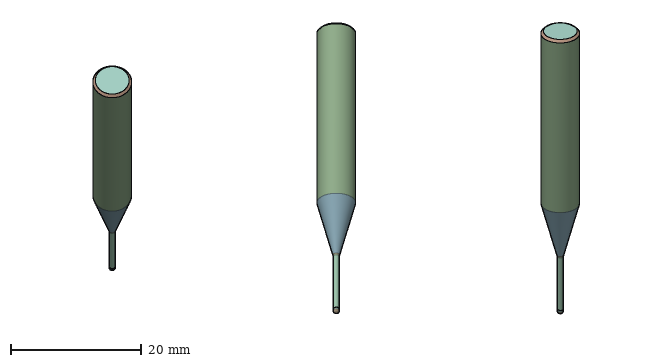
import cadquery as cq
import math

TOOL_LENGTH = 50.0
SHANK_RADIUS = 3.0
END_CHAMFER = 0.4

BALL_RADIUS = 0.5
HEAD_LENGTH = 0.8

NECK_RADIUS = 0.47
NECK_TOP_Z = 10.1
COLLAR_RADIUS = 0.55
COLLAR_TOP_Z = 10.35
CONE_TOP_Z = 19.55


def revolve_profile(profile):
    """Turn a closed half outline (radius, height) about the Z axis."""
    return profile.close().revolve(360, (0, 0, 0), (0, 1, 0))


def make_cutting_head():
    """Ball-nosed tip that ends flat against the neck."""
    arc_offset = BALL_RADIUS * math.sqrt(0.5)
    profile = (
        cq.Workplane("XZ")
        .moveTo(0, 0)
        .threePointArc((arc_offset, BALL_RADIUS - arc_offset), (BALL_RADIUS, BALL_RADIUS))
        .lineTo(BALL_RADIUS, HEAD_LENGTH)
        .lineTo(0, HEAD_LENGTH)
    )
    return revolve_profile(profile)


def make_shank():
    """Neck, short flared collar, cone and chamfered cylindrical shank."""
    profile = (
        cq.Workplane("XZ")
        .moveTo(0, HEAD_LENGTH)
        .lineTo(NECK_RADIUS, HEAD_LENGTH)
        .lineTo(NECK_RADIUS, NECK_TOP_Z)
        .lineTo(COLLAR_RADIUS, COLLAR_TOP_Z)
        .lineTo(SHANK_RADIUS, CONE_TOP_Z)
        .lineTo(SHANK_RADIUS, TOOL_LENGTH - END_CHAMFER)
        .lineTo(SHANK_RADIUS - END_CHAMFER, TOOL_LENGTH)
        .lineTo(0, TOOL_LENGTH)
    )
    return revolve_profile(profile)


cutting_head = make_cutting_head()
shank = make_shank()

result = cq.Compound.makeCompound([cutting_head.val(), shank.val()])